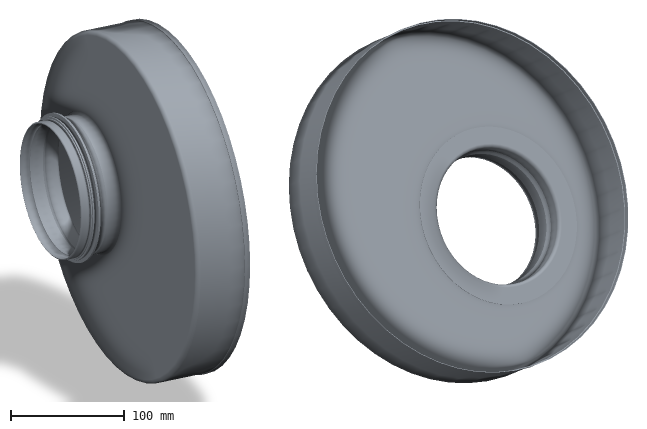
import cadquery as cq
RIM_DIAMETER = 318.0
PAN_DIAMETER = 316.5
PAN_WALL = 0.48
PAN_DEPTH = 52.0
RIM_DEPTH = 5.0
PAN_CORNER_RADIUS = 3.8

NECK_X = -56.3
NECK_DIAMETER = 124.0
NECK_WALL = 0.48
NECK_LENGTH = 38.2
FLANGE_DIAMETER = 160.0
ROOT_RADIUS = 2.5
PAN_OPENING_DIAMETER = NECK_DIAMETER + 2 * ROOT_RADIUS
TIP_RADIUS = 1.3
TIP_OPENING_DIAMETER = NECK_DIAMETER - 2 * TIP_RADIUS

GROOVE_DIAMETER = 119.3
SHOULDER_START = 12.7
GROOVE_START = 16.5
SHOULDER_END = 31.5
GROOVE_END_RADIUS = (NECK_DIAMETER - GROOVE_DIAMETER) / 2
GROOVE_END = SHOULDER_END - GROOVE_END_RADIUS

GASKET_DIAMETER = 120.5
LARGE_LIP_DIAMETER = 134.5
LARGE_LIP_START = 22.0
LARGE_LIP_WIDTH = 2.0
SMALL_LIP_DIAMETER = 129.5
SMALL_LIP_START = 26.7
SMALL_LIP_WIDTH = 1.3
BACKING_DIAMETER = 126.0
BACKING_WIDTH = 1.0

FACE_Y = -PAN_DEPTH


def disc(diameter, back_y, length, center_x=0.0):
    """Solid cylinder reaching from back_y towards -Y."""
    plane = cq.Workplane("XZ", origin=(center_x, back_y, 0))
    return plane.circle(diameter / 2).extrude(length)


def ring(outer, inner, back_y, length, center_x=0.0):
    """Flat-ended tube reaching from back_y towards -Y."""
    return disc(outer, back_y, length, center_x).cut(disc(inner, back_y, length, center_x))


def make_pan():
    shell = disc(PAN_DIAMETER, 0, PAN_DEPTH).faces("<Y").edges().fillet(PAN_CORNER_RADIUS)
    cavity = disc(PAN_DIAMETER - 2 * PAN_WALL, 0, PAN_DEPTH - PAN_WALL)
    cavity = cavity.faces("<Y").edges().fillet(PAN_CORNER_RADIUS - PAN_WALL)
    rim = disc(RIM_DIAMETER, 0, RIM_DEPTH)
    rim_cavity = disc(RIM_DIAMETER - 2 * PAN_WALL, 0, RIM_DEPTH - PAN_WALL)
    neck_opening = disc(PAN_OPENING_DIAMETER, FACE_Y + PAN_WALL, PAN_WALL, NECK_X)
    return shell.union(rim).cut(cavity).cut(rim_cavity).cut(neck_opening)


def neck_core(inset):
    """Solid of revolution of the flared and grooved neck, its surface set in by inset."""
    radius = NECK_DIAMETER / 2 - inset
    groove_radius = GROOVE_DIAMETER / 2 - inset
    flare_radius = ROOT_RADIUS + inset
    tip_radius = TIP_RADIUS - inset
    back = PAN_WALL + inset
    tip = NECK_LENGTH - inset
    profile = (
        cq.Workplane("XY", origin=(NECK_X, FACE_Y, 0))
        .moveTo(0, back)
        .lineTo(radius + flare_radius, back)
        .radiusArc((radius, back - flare_radius), -flare_radius)
        .lineTo(radius, -SHOULDER_START)
        .lineTo(groove_radius, -GROOVE_START)
        .lineTo(groove_radius, -GROOVE_END)
        .radiusArc((radius, -SHOULDER_END), GROOVE_END_RADIUS)
        .lineTo(radius, tip_radius - tip)
        .radiusArc((radius - tip_radius, -tip), tip_radius)
        .lineTo(0, -tip)
        .close()
    )
    return profile.revolve(360, (0, 0, 0), (0, 1, 0))


def make_neck():
    flange = disc(FLANGE_DIAMETER, FACE_Y + PAN_WALL + NECK_WALL, NECK_WALL, NECK_X)
    tip_opening = disc(TIP_OPENING_DIAMETER, FACE_Y - NECK_LENGTH + TIP_RADIUS, TIP_RADIUS, NECK_X)
    return neck_core(0).union(flange).cut(neck_core(NECK_WALL)).cut(tip_opening)


def make_gasket():
    def band(diameter, start, width):
        return ring(diameter, GROOVE_DIAMETER, FACE_Y - start, width, NECK_X)

    sleeve = band(GASKET_DIAMETER, GROOVE_START, GROOVE_END - GROOVE_START)
    large_lip = band(LARGE_LIP_DIAMETER, LARGE_LIP_START, LARGE_LIP_WIDTH)
    small_lip = band(SMALL_LIP_DIAMETER, SMALL_LIP_START, SMALL_LIP_WIDTH)
    backing = band(BACKING_DIAMETER, SMALL_LIP_START + SMALL_LIP_WIDTH, BACKING_WIDTH)
    return sleeve.union(large_lip).union(small_lip).union(backing)


pan = make_pan()
neck = make_neck()
gasket = make_gasket()

result = cq.Compound.makeCompound([pan.val(), neck.val(), gasket.val()])